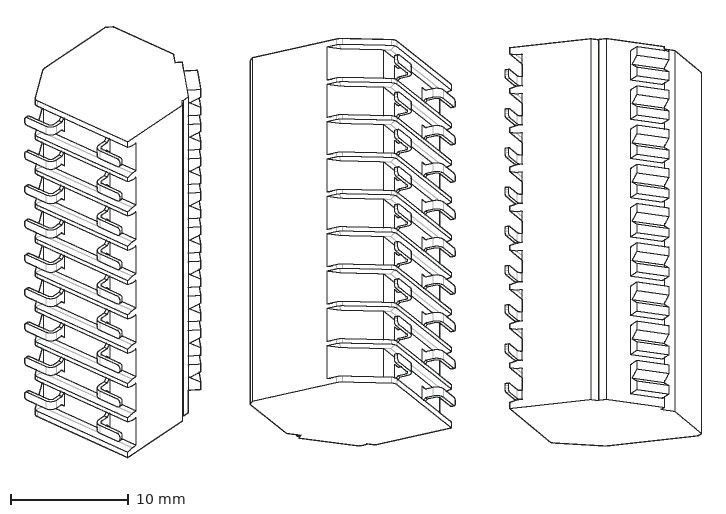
import cadquery as cq
import math

POLES = 9
LENGTH = 32.2
END_MARGIN = 0.35
PITCH = (LENGTH - 2 * END_MARGIN) / POLES

WIDTH = 12.7
DEPTH = 12.9
BACK_CHAMFER = 0.48
SLOPE_ANGLE = math.radians(59)
SLOPE_START = 2.45
SLOPE_FRONT_RADIUS = 0.5
SLOPE_SIDE_RADIUS = 1.0

BEVEL_SUM = 20.03
PANEL_RISE = 0.6
PANEL_TOP_X = 8.02
PANEL_SIDE_X = 12.27
PANEL_LOWER_STEP = 0.1

BUTTON_LENGTH = 3.0
BUTTON_HEIGHT = 1.3
BUTTON_WIDTH = 2.6
BUTTON_TOP_Y = 13.25
GROOVE_WIDTH = 1.05
GROOVE_DEPTH = 0.95

RECESS_MOUTH_WIDTH = 3.1
RECESS_FLOOR_WIDTH = 2.8
TAPER_DEPTH = 0.6
SLOPE_RECESS_DEPTH = TAPER_DEPTH
FRONT_RECESS_DEPTH = 1.13
OVERRUN = 1.6

PIN_THICKNESS = 0.32
PIN_WIDTH = 0.8
PIN_FLARE_WIDTH = 1.48
PIN_FRONT_Y = -0.58
PIN_BEND_RADIUS = 0.65
PIN_TIP_RADIUS = 0.3
LEFT_PIN_X = 4.8
LEFT_PIN_TIP_X = 1.8
RIGHT_PIN_X = 9.47
RIGHT_PIN_TIP_X = 12.3

DIAGONAL = math.sqrt(2)
SLOPE_SIDE_Y = SLOPE_START * math.tan(SLOPE_ANGLE)
PANEL_SUM = BEVEL_SUM + PANEL_RISE * DIAGONAL
POLE_LEVELS = [(i - (POLES - 1) / 2) * PITCH for i in range(POLES)]


def make_housing():
    panel_top_y = BEVEL_SUM - PANEL_TOP_X
    panel_run = PANEL_RISE / DIAGONAL
    step_x = PANEL_SIDE_X - PANEL_LOWER_STEP
    step_y = BEVEL_SUM - step_x
    outline = [
        (SLOPE_START, 0),
        (WIDTH, 0),
        (WIDTH, BEVEL_SUM - WIDTH),
        (step_x, step_y),
        (PANEL_SIDE_X, step_y + PANEL_LOWER_STEP),
        (PANEL_SIDE_X, PANEL_SUM - PANEL_SIDE_X),
        (PANEL_TOP_X + panel_run, panel_top_y + panel_run),
        (PANEL_TOP_X, panel_top_y),
        (BEVEL_SUM - DEPTH, DEPTH),
        (BACK_CHAMFER, DEPTH),
        (0, DEPTH - BACK_CHAMFER),
        (0, SLOPE_SIDE_Y),
    ]
    body = cq.Workplane("XY").polyline(outline).close().extrude(LENGTH / 2, both=True)
    body = body.edges(cq.selectors.NearestToPointSelector((SLOPE_START, 0, 0))).fillet(SLOPE_FRONT_RADIUS)
    return body.edges(cq.selectors.NearestToPointSelector((0, SLOPE_SIDE_Y, 0))).fillet(SLOPE_SIDE_RADIUS)


def make_channel(plane, start, length):
    """Channel along the plane's normal, straight-walled inside and tapered at its mouth."""
    half_section = [
        (-FRONT_RECESS_DEPTH, RECESS_FLOOR_WIDTH / 2),
        (-TAPER_DEPTH, RECESS_FLOOR_WIDTH / 2),
        (0, RECESS_MOUTH_WIDTH / 2),
        (OVERRUN, RECESS_MOUTH_WIDTH / 2),
    ]
    mirrored = [(x, -y) for x, y in reversed(half_section)]
    section = half_section + mirrored
    return cq.Workplane(plane).workplane(offset=start).polyline(section).close().extrude(length)


def make_recess():
    """Recess of one pole: channels along front, slope and left side, limited by the floor."""
    sin_slope = math.sin(SLOPE_ANGLE)
    cos_slope = math.cos(SLOPE_ANGLE)
    front_plane = cq.Plane(origin=(0, 0, 0), xDir=(0, -1, 0), normal=(1, 0, 0))
    slope_plane = cq.Plane(
        origin=(SLOPE_START, 0, 0),
        xDir=(-sin_slope, -cos_slope, 0),
        normal=(-cos_slope, sin_slope, 0),
    )
    side_plane = cq.Plane(origin=(0, 0, 0), xDir=(-1, 0, 0), normal=(0, 1, 0))
    slope_length = SLOPE_START / cos_slope
    front = make_channel(front_plane, -OVERRUN, WIDTH + 2 * OVERRUN)
    slope = make_channel(slope_plane, -OVERRUN, slope_length + 2 * OVERRUN)
    side = make_channel(side_plane, -OVERRUN, SLOPE_SIDE_Y + 2 * OVERRUN)

    floor_side_y = SLOPE_SIDE_Y + SLOPE_RECESS_DEPTH / cos_slope
    floor_corner_x = (floor_side_y - FRONT_RECESS_DEPTH) / math.tan(SLOPE_ANGLE)
    floor_outline = [
        (WIDTH + OVERRUN, -OVERRUN),
        (WIDTH + OVERRUN, FRONT_RECESS_DEPTH),
        (floor_corner_x, FRONT_RECESS_DEPTH),
        (0, floor_side_y),
        (-OVERRUN, floor_side_y),
        (-OVERRUN, -OVERRUN),
    ]
    clearance = (
        cq.Workplane("XY").polyline(floor_outline).close().extrude(RECESS_MOUTH_WIDTH / 2, both=True)
    )
    return front.union(slope).union(side).intersect(clearance)


def make_button():
    """Button with a V groove running down the bevel."""
    top_sum = PANEL_SUM + BUTTON_HEIGHT * DIAGONAL
    top_edge = (top_sum - BUTTON_TOP_Y, BUTTON_TOP_Y, 0)
    end_plane = cq.Plane(origin=top_edge, xDir=(1, 1, 0), normal=(1, -1, 0))
    block = (
        cq.Workplane(end_plane)
        .center(-BUTTON_HEIGHT / 2, 0)
        .rect(BUTTON_HEIGHT, BUTTON_WIDTH)
        .extrude(BUTTON_LENGTH)
    )
    groove = (
        cq.Workplane(end_plane)
        .polyline([(0, -GROOVE_WIDTH / 2), (0, GROOVE_WIDTH / 2), (-GROOVE_DEPTH, 0)])
        .close()
        .extrude(BUTTON_LENGTH)
    )
    return block.cut(groove)


def make_pin(inner_x, tip_x):
    """L-shaped strip: flared upright out of the recess floor, then a flat foot."""
    side = math.copysign(1, tip_x - inner_x)
    outer_x = inner_x + side * PIN_THICKNESS
    foot_back_y = PIN_FRONT_Y + PIN_THICKNESS
    bend_y = PIN_FRONT_Y + PIN_BEND_RADIUS
    bend_x = inner_x + side * PIN_BEND_RADIUS
    inside_radius = PIN_BEND_RADIUS - PIN_THICKNESS
    mid_arc = 1 / DIAGONAL
    strip = (
        cq.Workplane("XY")
        .moveTo(inner_x, FRONT_RECESS_DEPTH)
        .lineTo(inner_x, bend_y)
        .threePointArc(
            (bend_x - side * PIN_BEND_RADIUS * mid_arc, bend_y - PIN_BEND_RADIUS * mid_arc),
            (bend_x, PIN_FRONT_Y),
        )
        .lineTo(tip_x, PIN_FRONT_Y)
        .lineTo(tip_x, foot_back_y)
        .lineTo(bend_x, foot_back_y)
        .threePointArc(
            (bend_x - side * inside_radius * mid_arc, bend_y - inside_radius * mid_arc),
            (outer_x, bend_y),
        )
        .lineTo(outer_x, FRONT_RECESS_DEPTH)
        .close()
        .extrude(PIN_WIDTH / 2, both=True)
    )
    tip_face = ">X" if side > 0 else "<X"
    strip = strip.faces(tip_face).edges("|Y").fillet(PIN_TIP_RADIUS)

    flare_run = (PIN_FLARE_WIDTH - PIN_WIDTH) / 2
    flare_outline = [
        (FRONT_RECESS_DEPTH, -PIN_FLARE_WIDTH / 2),
        (FRONT_RECESS_DEPTH, PIN_FLARE_WIDTH / 2),
        (FRONT_RECESS_DEPTH - flare_run, PIN_WIDTH / 2),
        (FRONT_RECESS_DEPTH - flare_run, -PIN_WIDTH / 2),
    ]
    flare = (
        cq.Workplane("YZ")
        .workplane(offset=min(inner_x, outer_x))
        .polyline(flare_outline)
        .close()
        .extrude(PIN_THICKNESS)
    )
    return strip.union(flare)


housing = make_housing()
recess = make_recess()
button = make_button()
left_pin = make_pin(LEFT_PIN_X, LEFT_PIN_TIP_X)
right_pin = make_pin(RIGHT_PIN_X, RIGHT_PIN_TIP_X)

result = housing
for level in POLE_LEVELS:
    result = result.cut(recess.translate((0, 0, level)))
for level in POLE_LEVELS:
    for feature in (button, left_pin, right_pin):
        result = result.union(feature.translate((0, 0, level)))